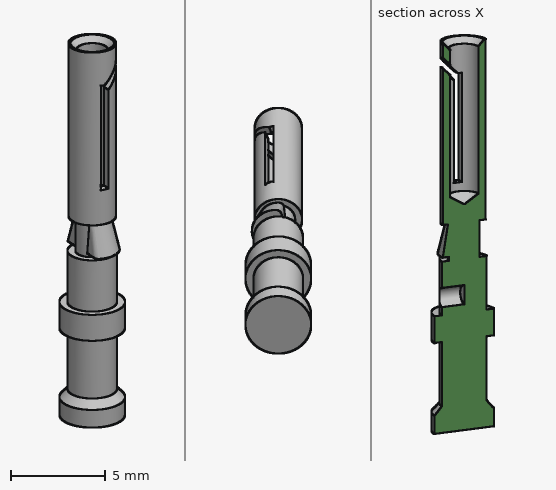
import cadquery as cq
import math

total_length = 21.5
foot_height = 1.03
foot_taper_height = 0.47
flange_bottom = 5.03
flange_top = 6.54
shank_top = 9.5
barb_bottom = 9.7
sleeve_bottom = 11.5

flange_radius = 1.752
shank_radius = 1.322
core_radius = 0.9
sleeve_radius = 1.27

bore_radius = 0.82
lead_in_radius = 1.16
lead_in_depth = lead_in_radius - bore_radius
bore_bottom = 13.0
drill_point_angle = 118.0

slot_front = -0.24
slot_back = 0.24
slot_bottom = 13.5
slot_bend_front = 19.55
slot_bend_back = 19.2
slot_exit_top = 20.75
slot_exit_bottom = 20.2
cut_margin = 0.22

barb_top_size = (1.05, 0.97, 0.6)
barb_bottom_size = (1.63, 1.27, 0.69)
barb_corner_radius = 0.25

sight_hole_radius = 0.52
sight_hole_height = 7.5


def turned_body():
    foot_taper_top = foot_height + foot_taper_height
    profile = [
        (0, 0),
        (flange_radius, 0),
        (flange_radius, foot_height),
        (shank_radius, foot_taper_top),
        (shank_radius, flange_bottom),
        (flange_radius, flange_bottom),
        (flange_radius, flange_top),
        (shank_radius, flange_top),
        (shank_radius, shank_top),
        (core_radius, shank_top),
        (core_radius, sleeve_bottom),
        (sleeve_radius, sleeve_bottom),
        (sleeve_radius, total_length),
        (0, total_length),
    ]
    return cq.Workplane("XZ").polyline(profile).close().revolve(360, (0, 0), (0, 1))


def barb_outline(plane, size):
    """Obround with its long side along X, cut off flat at the front."""
    half_width, end_radius, front_reach = size
    end_center = half_width - end_radius
    corner = end_center + math.sqrt(end_radius**2 - front_reach**2)
    return (
        plane.moveTo(corner, -front_reach)
        .threePointArc((half_width, 0), (end_center, end_radius))
        .lineTo(-end_center, end_radius)
        .threePointArc((-half_width, 0), (-corner, -front_reach))
        .close()
    )


def barb():
    lower = barb_outline(cq.Workplane("XY", origin=(0, 0, barb_bottom)), barb_bottom_size)
    upper_plane = lower.workplane(offset=sleeve_bottom - barb_bottom)
    flared = barb_outline(upper_plane, barb_top_size).loft(ruled=True)
    front_corners = flared.faces("<Y").edges("<X or >X")
    return front_corners.fillet(barb_corner_radius)


def socket_bore():
    point_depth = bore_radius / math.tan(math.radians(drill_point_angle / 2))
    profile = [
        (0, bore_bottom - point_depth),
        (bore_radius, bore_bottom),
        (bore_radius, total_length - lead_in_depth),
        (lead_in_radius, total_length),
        (0, total_length),
    ]
    return cq.Workplane("XZ").polyline(profile).close().revolve(360, (0, 0), (0, 1))


def sleeve_slot():
    top_slope = (slot_exit_top - slot_bend_front) / sleeve_radius
    bottom_slope = (slot_exit_bottom - slot_bend_back) / (sleeve_radius - slot_back)
    outside = sleeve_radius + cut_margin
    outline = [
        (slot_front, slot_bottom),
        (slot_back, slot_bottom),
        (slot_back, slot_bend_back),
        (outside, slot_exit_bottom + bottom_slope * cut_margin),
        (outside, slot_exit_top + top_slope * cut_margin),
        (0, slot_bend_front),
        (slot_front, slot_bend_front),
    ]
    return cq.Workplane("YZ").polyline(outline).close().extrude(outside, both=True)


def sight_hole():
    return (
        cq.Workplane("XZ")
        .center(0, sight_hole_height)
        .circle(sight_hole_radius)
        .extrude(-(shank_radius + cut_margin))
    )


result = turned_body().union(barb()).cut(socket_bore()).cut(sleeve_slot()).cut(sight_hole())